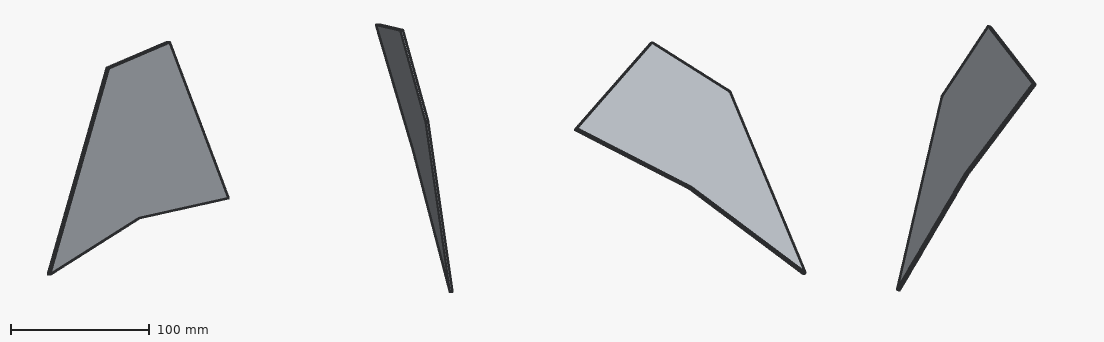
import cadquery as cq

thickness = 2.0
base_width = 220.0
top_width = 75.0
height = 137.0
notch_rise = 13.9

half_base = base_width / 2
half_top = top_width / 2
top_z = height / 2
bottom_z = -height / 2

outline = [
    (-half_base, bottom_z),
    (0, bottom_z + notch_rise),
    (half_base, bottom_z),
    (half_top, top_z),
    (-half_top, top_z),
]

result = cq.Workplane("YZ").polyline(outline).close().extrude(thickness / 2, both=True)